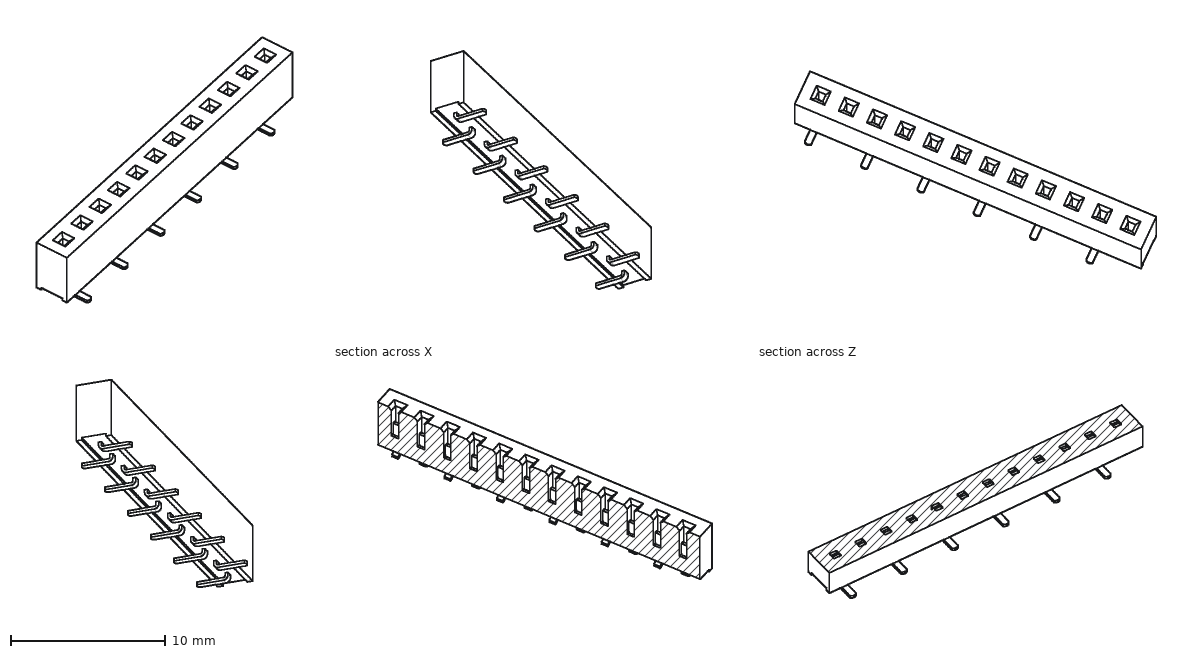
import cadquery as cq
import math

body_length = 24.6
body_width = 2.45
total_height = 4.3
standoff = 0.35
body_height = total_height - standoff

channel_width = 1.7
channel_depth = 0.17

contact_count = 12
end_margin = 1.3
pitch = (body_length - 2 * end_margin) / (contact_count - 1)

mouth_size = 1.0
throat_size = 0.52
mouth_depth = (mouth_size - throat_size) / 2
socket_depth = 2.45

foot_span = 4.3
metal = 0.2
contact_width = 0.47
bend_inner = 0.12
bend_outer = bend_inner + metal
tip_bulge = 0.1
post_height = 0.98

socket_floor_z = total_height - socket_depth
tip_start_x = foot_span / 2 - tip_bulge
post_top_z = socket_floor_z + post_height


def make_body():
    """Plain block with a full-length channel underneath."""
    block = cq.Workplane("XY").box(body_width, body_length, body_height, centered=(True, True, False))
    block = block.translate((0, 0, standoff))
    channel = cq.Workplane("XY").box(channel_width, body_length, channel_depth, centered=(True, True, False))
    return block.cut(channel.translate((0, 0, standoff)))


def make_socket():
    """Square well with a funnel-shaped mouth."""
    mouth = (
        cq.Workplane("XY", origin=(0, 0, total_height - mouth_depth))
        .rect(throat_size, throat_size)
        .workplane(offset=mouth_depth)
        .rect(mouth_size, mouth_size)
        .loft(ruled=True)
    )
    well = cq.Workplane("XY", origin=(0, 0, socket_floor_z)).rect(throat_size, throat_size)
    return mouth.union(well.extrude(socket_depth - mouth_depth))


def make_tip():
    """Foot tip, bulging in plan as a shallow arc."""
    return (
        cq.Workplane("XY")
        .moveTo(tip_start_x, -contact_width / 2)
        .threePointArc((foot_span / 2, 0), (tip_start_x, contact_width / 2))
        .close()
        .extrude(metal)
    )


def make_contact():
    """Post bent outward into a foot that points toward +X."""
    half = metal / 2
    bend_x = half + bend_inner
    diagonal = math.sqrt(0.5)
    outer_mid = (bend_x - bend_outer * diagonal, bend_outer - bend_outer * diagonal)
    inner_mid = (bend_x - bend_inner * diagonal, bend_outer - bend_inner * diagonal)
    profile = (
        cq.Workplane("XZ")
        .moveTo(-half, post_top_z)
        .lineTo(-half, bend_outer)
        .threePointArc(outer_mid, (bend_x, 0))
        .lineTo(tip_start_x, 0)
        .lineTo(tip_start_x, metal)
        .lineTo(bend_x, metal)
        .threePointArc(inner_mid, (half, bend_outer))
        .lineTo(half, post_top_z)
        .close()
    )
    contact = profile.extrude(contact_width / 2, both=True)
    return contact.union(make_tip())


result = make_body()
for index in range(contact_count):
    y = ((contact_count - 1) / 2 - index) * pitch
    result = result.cut(make_socket().translate((0, y, 0)))
    contact = make_contact()
    if index % 2 == 0:
        contact = contact.mirror("YZ")
    result = result.union(contact.translate((0, y, 0)))